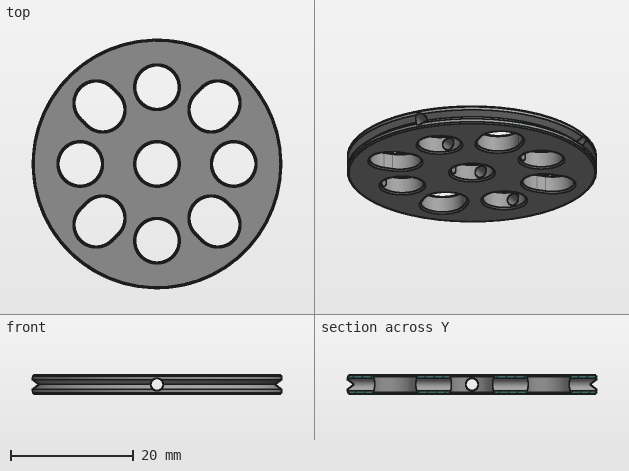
import cadquery as cq

disc_diameter = 40.6
thickness = 3.13
rim_chamfer = 0.25

groove_width = 1.6
groove_depth = 1.0

hole_diameter = 7.0
hole_pitch_radius = 12.5
slot_travel = 1.5
hole_chamfer = 0.3

cross_bore_diameter = 2.0

disc_radius = disc_diameter / 2
half_thickness = thickness / 2
hole_radius = hole_diameter / 2


def grooved_disc():
    """Revolve the half section, with chamfered rims and a V-groove between them."""
    face_radius = disc_radius - rim_chamfer
    rim_height = half_thickness - rim_chamfer
    half_groove = groove_width / 2
    return (
        cq.Workplane("XZ")
        .moveTo(0, -half_thickness)
        .lineTo(face_radius, -half_thickness)
        .lineTo(disc_radius, -rim_height)
        .lineTo(disc_radius, -half_groove)
        .lineTo(disc_radius - groove_depth, 0)
        .lineTo(disc_radius, half_groove)
        .lineTo(disc_radius, rim_height)
        .lineTo(face_radius, half_thickness)
        .lineTo(0, half_thickness)
        .close()
        .revolve(360, (0, 0), (0, 1))
    )


def chamfered_hole_cutter():
    """Cutter for a round hole at the origin, flared at both faces."""
    mouth_radius = hole_radius + hole_chamfer
    wall_height = half_thickness - hole_chamfer
    return (
        cq.Workplane("XZ")
        .moveTo(0, -half_thickness)
        .lineTo(mouth_radius, -half_thickness)
        .lineTo(hole_radius, -wall_height)
        .lineTo(hole_radius, wall_height)
        .lineTo(mouth_radius, half_thickness)
        .lineTo(0, half_thickness)
        .close()
        .revolve(360, (0, 0), (0, 1))
    )


def chamfered_slot_cutter():
    """Cutter for a slot along X, flared at both faces; its inner end is on the hole circle."""
    return (
        cq.Workplane("XY")
        .center(hole_pitch_radius + slot_travel / 2, 0)
        .slot2D(slot_travel + hole_diameter, hole_diameter)
        .extrude(half_thickness, both=True)
        .union(slot_mouth(1))
        .union(slot_mouth(-1))
    )


def slot_mouth(side):
    """Tapered mouth of the slot at the top (side = 1) or bottom (side = -1) face."""
    mouth_diameter = hole_diameter + 2 * hole_chamfer
    mouth_taper = 45
    return (
        cq.Workplane("XY", origin=(0, 0, side * half_thickness))
        .center(hole_pitch_radius + slot_travel / 2, 0)
        .slot2D(slot_travel + mouth_diameter, mouth_diameter)
        .extrude(-side * hole_chamfer, taper=mouth_taper)
    )


def cross_bore(plane):
    """Bore through the whole disc along the normal of the given plane."""
    seam_turn = (0, 0, 90)
    return (
        cq.Workplane(plane)
        .transformed(rotate=seam_turn)
        .circle(cross_bore_diameter / 2)
        .extrude(disc_diameter, both=True)
    )


result = grooved_disc()

for plane in ("YZ", "XZ"):
    result = result.cut(cross_bore(plane))

result = result.cut(chamfered_hole_cutter())

for angle in (0, 90, 180, 270):
    outer_hole = chamfered_hole_cutter().translate((hole_pitch_radius, 0, 0))
    result = result.cut(outer_hole.rotate((0, 0, 0), (0, 0, 1), angle))

for angle in (45, 135, 225, 315):
    result = result.cut(chamfered_slot_cutter().rotate((0, 0, 0), (0, 0, 1), angle))